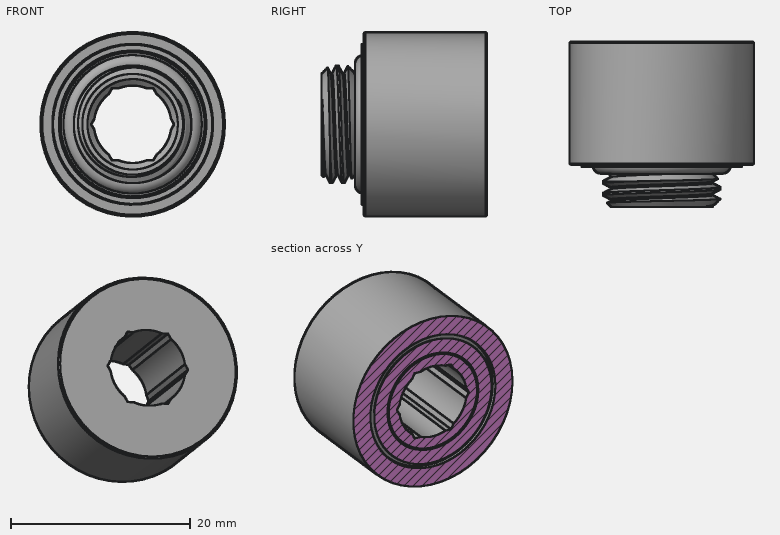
import cadquery as cq
import math

total_length = 18.5
body_radius = 10.3
body_chamfer = 0.2
body_front = 4.7

collar_radius = 8.98
collar_chamfer = 0.1
collar_front = 4.47

ring_section_radius = 1.0
ring_outer_radius = 7.72
ring_front = 3.73
ring_center_y = ring_front + ring_section_radius
groove_radius = 8.03
groove_chamfer = 0.2
groove_floor = ring_center_y + ring_section_radius

root_radius = 5.73
crest_radius = 6.57
pitch = 1.34
flank_angle = 27.5
crest_width = 0.25
crest_at_minus_x = 1.45
tip_radius = 5.62

bore_radius = 4.3
hex_across_flats = 8.0
countersink_radius = 5.05
countersink_depth = 0.75

overlap = 0.06


def revolve_profile(points):
    """Revolve (radius, y) points about the Y axis."""
    return cq.Workplane("XY").polyline(points).close().revolve(360, (0, 0, 0), (0, 1, 0))


def make_body():
    """Outer sleeve, collar, seal groove and thread core as one revolved profile."""
    return revolve_profile([
        (0, 0),
        (tip_radius, 0),
        (root_radius, root_radius - tip_radius),
        (root_radius, groove_floor),
        (groove_radius, groove_floor),
        (groove_radius, collar_front + groove_chamfer),
        (groove_radius + groove_chamfer, collar_front),
        (collar_radius - collar_chamfer, collar_front),
        (collar_radius, collar_front + collar_chamfer),
        (collar_radius, body_front),
        (body_radius - body_chamfer, body_front),
        (body_radius, body_front + body_chamfer),
        (body_radius, total_length - body_chamfer),
        (body_radius - body_chamfer, total_length),
        (0, total_length),
    ])


def make_ring():
    """O-ring seated in the groove."""
    ring_center_radius = ring_outer_radius - ring_section_radius
    section = cq.Workplane("XY").center(ring_center_radius, ring_center_y).circle(ring_section_radius)
    return section.revolve(360, (-ring_center_radius, 0, 0), (-ring_center_radius, 1, 0))


def make_thread():
    """Right-hand ridge, bevelled at 45 degrees at both ends."""
    inner_radius = root_radius - overlap
    half_crest = crest_width / 2
    half_base = half_crest + (crest_radius - inner_radius) * math.tan(math.radians(flank_angle))
    start_y = crest_at_minus_x - 2 * pitch
    turns = 4
    path = cq.Wire.makeHelix(pitch, turns * pitch, inner_radius)
    ridge = (
        cq.Workplane("XZ")
        .polyline([
            (inner_radius, -half_base),
            (crest_radius, -half_crest),
            (crest_radius, half_crest),
            (inner_radius, half_base),
        ])
        .close()
        .sweep(cq.Workplane(path), isFrenet=True)
    )
    ridge = ridge.rotate((0, 0, 0), (1, 0, 0), -90)
    ridge = ridge.rotate((0, 0, 0), (0, 1, 0), 180).translate((0, start_y, 0))
    outer_radius = crest_radius + overlap
    envelope = revolve_profile([
        (0, 0),
        (tip_radius, 0),
        (outer_radius, outer_radius - tip_radius),
        (outer_radius, ring_front - (outer_radius - root_radius)),
        (inner_radius, ring_front + overlap),
        (0, ring_front + overlap),
    ])
    return ridge.intersect(envelope)


def make_bore():
    """Round through bore with hexagon key corners and a countersunk mouth."""
    hex_corner_diameter = hex_across_flats / math.cos(math.pi / 6)
    plane = cq.Workplane("XZ")
    round_bore = plane.circle(bore_radius).extrude(-total_length)
    key_socket = plane.polygon(6, hex_corner_diameter).extrude(-total_length)
    mouth = revolve_profile([
        (0, 0),
        (countersink_radius, 0),
        (countersink_radius - countersink_depth, countersink_depth),
        (0, countersink_depth),
    ])
    return round_bore.union(key_socket).union(mouth)


result = make_body().union(make_ring()).union(make_thread()).cut(make_bore())